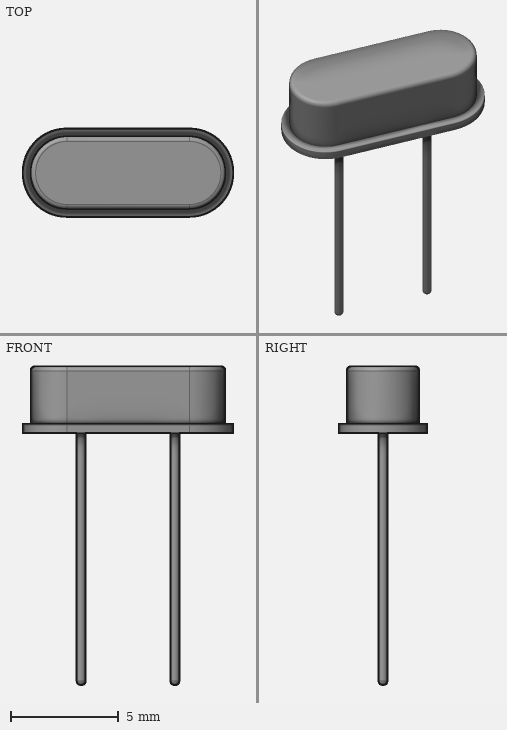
import cadquery as cq

overall_height = 14.8
lead_length = 11.69

flange_length = 9.78
flange_width = 4.11
flange_thickness = 0.45
flange_edge_radius = 0.05

flange_overhang = 0.37
can_length = flange_length - 2 * flange_overhang
can_width = flange_width - 2 * flange_overhang
can_top = overall_height - lead_length
can_edge_radius = 0.22

lead_diameter = 0.43
lead_spacing = 4.35
lead_tip_radius = 0.2


def stadium(length, width, height, top_radius):
    """Upright slab with round ends along X and a rounded top edge."""
    return (
        cq.Workplane("XY")
        .slot2D(length, width)
        .extrude(height)
        .faces(">Z")
        .edges()
        .fillet(top_radius)
    )


def lead(x):
    """Round pin hanging below the flange, with a rounded lower end."""
    return (
        cq.Workplane("XY")
        .center(x, 0)
        .circle(lead_diameter / 2)
        .extrude(-lead_length)
        .faces("<Z")
        .edges()
        .fillet(lead_tip_radius)
    )


flange = stadium(flange_length, flange_width, flange_thickness, flange_edge_radius)
can = stadium(can_length, can_width, can_top, can_edge_radius)

result = flange.union(can)
for side in (-1, 1):
    result = result.union(lead(side * lead_spacing / 2))